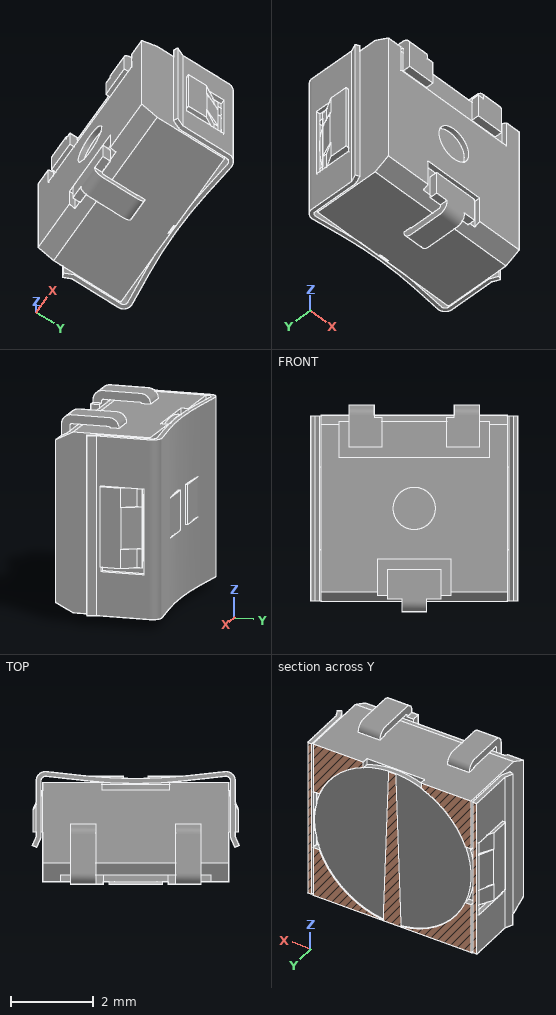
import cadquery as cq
import math


body_width = 4.5
body_height = 4.5
body_depth = 2.4
chamfer_height = 0.23
chamfer_depth = 0.45
dimple_radius = 0.51
dimple_depth = 0.15

pocket_depth = 0.16
upper_pocket_width = 3.62
upper_pocket_floor_z = 1.23
lower_pocket_width = 1.77
lower_pocket_top_z = -1.22

recess_radius = 2.23
recess_depth = 0.045
notch_width = 1.64
notch_depth = 0.185

pin_thickness = 0.22
pin_outer_radius = 0.25
pin_inner_radius = 0.05
pin_reach_z = 2.5
pin_front_y = -0.06
pin_back_y = 1.4
pin_root_z = 2.1
pad_inner_z = 1.48
pad_outer_z = 2.19
upper_pin_outer_x = 1.58
upper_pin_inner_x = 0.96
upper_pad_inner_x = 0.78
lower_pin_half_width = 0.3
lower_pad_half_width = 0.65

clip_height = 4.47
clip_thickness = 0.12
clip_half_width = 2.405
clip_sag_y = 2.495
clip_corner_radius = 0.23
clip_sag_half_width = 1.24
clip_slope_angle = 6.3
flare_half_width = 2.5
flare_bend_y = 1.09
flare_tip_y = 0.88
window_bottom_y = 1.2
window_top_y = 2.285
window_low_z = -1.13
window_high_z = 1.0
rest_inner_x = 0.29
rest_outer_x = 1.24
rest_top_y = 2.55
rest_height = 1.0

snap_half_width = 2.485
snap_base_half_width = 2.28
snap_bottom_y = 1.2
snap_edge_y = 1.717
snap_edge_top_y = 2.074
snap_height = 2.0
snap_mid_y = 1.74
snap_top_y = 2.2
snap_mid_height = 1.04


def block(x_range, y_range, z_range):
    """Box spanning the given (low, high) ranges."""
    size = [high - low for low, high in (x_range, y_range, z_range)]
    corner = (x_range[0], y_range[0], z_range[0])
    return cq.Workplane("XY").box(*size, centered=False).translate(corner)


def back_cylinder(radius, start_y, length):
    """Cylinder about the Y axis, from start_y towards +Y."""
    plane = cq.Workplane("XZ", origin=(0, start_y, 0))
    return plane.circle(radius).extrude(-length)


def mirrored_pair(solid):
    """The solid together with its mirror image across X = 0."""
    return solid.union(solid.mirror("YZ"))


def make_body():
    top = body_height / 2
    front_top = top - chamfer_height
    profile = [
        (0, -front_top),
        (0, front_top),
        (chamfer_depth, top),
        (body_depth, top),
        (body_depth, -top),
        (chamfer_depth, -top),
    ]
    body = cq.Workplane("YZ").polyline(profile).close().extrude(body_width / 2, both=True)

    upper_half = upper_pocket_width / 2
    lower_half = lower_pocket_width / 2
    pocket_y = (0, pocket_depth)
    body = body.cut(block((-upper_half, upper_half), pocket_y, (upper_pocket_floor_z, top)))
    body = body.cut(block((-lower_half, lower_half), pocket_y, (-top, lower_pocket_top_z)))
    body = body.cut(back_cylinder(dimple_radius, 0, dimple_depth))

    notch_half = notch_width / 2
    notch_span = (-notch_half, notch_half)
    notch_y = (body_depth - notch_depth, body_depth)
    top_notch = block(notch_span, notch_y, (0, top))
    side_notches = block((-body_width / 2, body_width / 2), notch_y, notch_span)
    notches = top_notch.union(side_notches)
    notches = notches.cut(back_cylinder(recess_radius, 0, body_depth))
    body = body.cut(notches)
    return body.cut(back_cylinder(recess_radius, body_depth - recess_depth, recess_depth))


def make_wedge(slope_start_y, slope_end_y, height):
    """Snap wedge on the -X side, its slope ending on the snap base."""
    base_x = -snap_base_half_width
    profile = [
        (base_x, snap_bottom_y),
        (-snap_half_width, snap_bottom_y),
        (-snap_half_width, slope_start_y),
        (base_x, slope_end_y),
    ]
    return cq.Workplane("XY").polyline(profile).close().extrude(height / 2, both=True)


def make_snaps():
    base = block(
        (-snap_base_half_width, -body_width / 2),
        (snap_bottom_y, snap_top_y),
        (-snap_height / 2, snap_height / 2),
    )
    edge_wedge = make_wedge(snap_edge_y, snap_edge_top_y, snap_height)
    mid_wedge = make_wedge(snap_mid_y, snap_top_y, snap_mid_height)
    return mirrored_pair(base.union(edge_wedge).union(mid_wedge))


def make_upward_pin(x_range, pad_x_range):
    """C-shaped pin over the top of the body with a wider pad on the front."""
    width = x_range[1] - x_range[0]
    plane = cq.Workplane("YZ", origin=(x_range[0], 0, 0))
    front_inner_y = pin_front_y + pin_thickness
    back_inner_y = pin_back_y - pin_thickness
    under_z = pin_reach_z - pin_thickness
    profile = [
        (pin_front_y, pad_inner_z),
        (pin_front_y, pin_reach_z),
        (pin_back_y, pin_reach_z),
        (pin_back_y, pin_root_z),
        (back_inner_y, pin_root_z),
        (back_inner_y, under_z),
        (front_inner_y, under_z),
        (front_inner_y, pad_inner_z),
    ]
    pin = plane.polyline(profile).close().extrude(width)
    pin = pin.faces(">Z").edges("|X").fillet(pin_outer_radius)
    inner_bends = cq.selectors.BoxSelector(
        (x_range[0], front_inner_y - pin_inner_radius, under_z - pin_inner_radius),
        (x_range[1], back_inner_y + pin_inner_radius, under_z + pin_inner_radius),
    )
    pin = pin.edges("|X").edges(inner_bends).fillet(pin_inner_radius)
    return pin.union(block(pad_x_range, (pin_front_y, front_inner_y), (pad_inner_z, pad_outer_z)))


def make_pins():
    upper_pin = make_upward_pin(
        (-upper_pin_outer_x, -upper_pin_inner_x),
        (-upper_pin_outer_x, -upper_pad_inner_x),
    )
    lower_pin = make_upward_pin(
        (-lower_pin_half_width, lower_pin_half_width),
        (-lower_pad_half_width, lower_pad_half_width),
    )
    return mirrored_pair(upper_pin).union(lower_pin.mirror("XY"))


def make_clip_sheet():
    """Bent sheet: arched back, straight slopes, side walls and flared ends."""
    flare_run = flare_half_width - clip_half_width
    flare_rise = flare_bend_y - flare_tip_y
    flare_angle = math.atan2(flare_run, flare_rise)
    inner_bend_y = flare_bend_y - clip_thickness * math.tan(flare_angle / 2)
    inner_tip_x = flare_half_width - clip_thickness * math.cos(flare_angle)
    inner_tip_y = flare_tip_y - clip_thickness * math.sin(flare_angle)

    slope_angle = math.radians(clip_slope_angle)
    outer_sag_radius = clip_sag_half_width / math.sin(slope_angle)
    inner_sag_radius = outer_sag_radius + clip_thickness
    sag_centre_y = clip_sag_y + outer_sag_radius

    def sag_end(radius):
        return radius * math.sin(slope_angle), sag_centre_y - radius * math.cos(slope_angle)

    def corner(radius, wall_x):
        end_x, end_y = sag_end(radius)
        return wall_x, end_y + (wall_x - end_x) * math.tan(slope_angle)

    outer_end = sag_end(outer_sag_radius)
    inner_end = sag_end(inner_sag_radius)
    inner_x = clip_half_width - clip_thickness
    outer_corner = corner(outer_sag_radius, clip_half_width)
    inner_corner = corner(inner_sag_radius, inner_x)
    right_side = [
        outer_end,
        outer_corner,
        (clip_half_width, flare_bend_y),
        (flare_half_width, flare_tip_y),
        (inner_tip_x, inner_tip_y),
        (inner_x, inner_bend_y),
        inner_corner,
        inner_end,
    ]
    left_side = [(-x, y) for x, y in reversed(right_side)]
    sheet = (
        cq.Workplane("XY")
        .polyline(right_side)
        .threePointArc((0, sag_centre_y - inner_sag_radius), left_side[0])
        .polyline(left_side[1:], includeCurrent=True)
        .threePointArc((0, clip_sag_y), outer_end)
        .close()
        .extrude(clip_height / 2, both=True)
    )

    def bend(solid, point, radius):
        for side in (-1, 1):
            nearest = cq.selectors.NearestToPointSelector((side * point[0], point[1], 0))
            solid = solid.edges("|Z").edges(nearest).fillet(radius)
        return solid

    sheet = bend(sheet, outer_corner, clip_corner_radius)
    return bend(sheet, inner_corner, clip_corner_radius - clip_thickness)


def make_clip():
    """Sheet clip with a window in each side wall and two flat rests on its back."""
    window = block(
        (-flare_half_width, flare_half_width),
        (window_bottom_y, window_top_y),
        (window_low_z, window_high_z),
    )
    clip = make_clip_sheet().cut(window)

    rest = block(
        (rest_inner_x, rest_outer_x),
        (clip_sag_y - clip_thickness / 2, rest_top_y),
        (-rest_height / 2, rest_height / 2),
    )
    return clip.union(mirrored_pair(rest))


result = make_body().union(make_snaps()).union(make_pins()).union(make_clip())